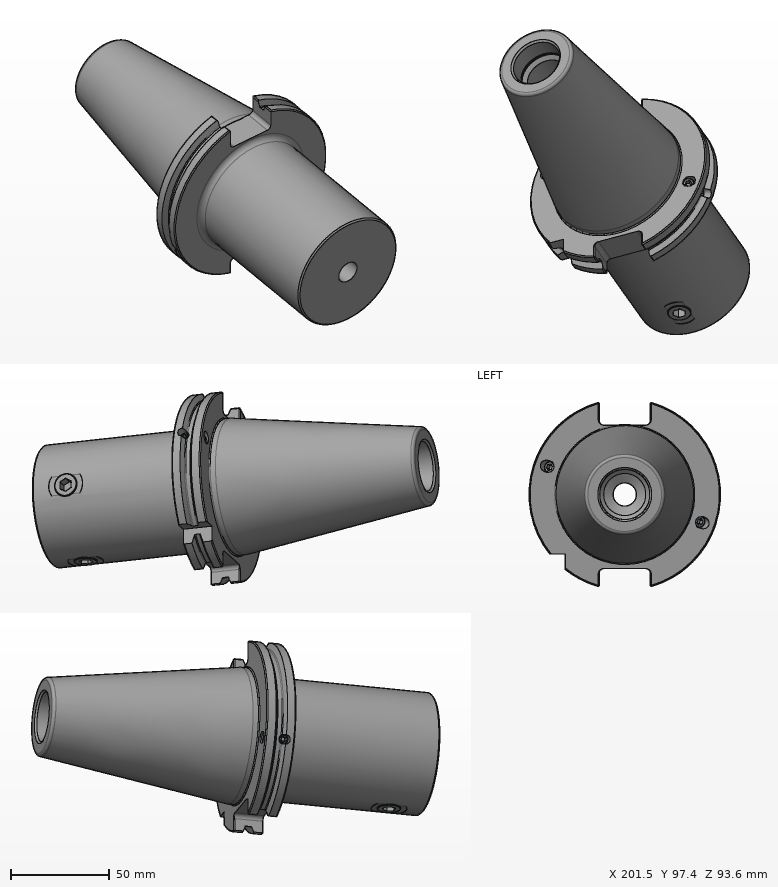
import cadquery as cq
import math

TOTAL_LENGTH = 201.5
GAUGE_X = 101.6
FLANGE_X = 105.0
FLANGE_WIDTH = 15.5
FLANGE_END_X = FLANGE_X + FLANGE_WIDTH

SMALL_END_RADIUS = 20.4
GAUGE_RADIUS = 34.98
FLANGE_RADIUS = 48.69
NECK_RADIUS = 31.5

SMALL_END_FILLET = 1.6
FLANGE_CHAMFER = 0.6
NECK_CHAMFER = 0.8
NECK_FILLET = 3.0
ROOT_FILLET = 0.6

GROOVE_X = FLANGE_X + 7.9
GROOVE_OPENING = 6.0
GROOVE_FLOOR = 3.0
GROOVE_DEPTH = 3.5
GROOVE_FILLET = 0.6

PILOT_RADIUS = 12.7
PILOT_CHAMFER = 1.0
PILOT_DEPTH = 12.0
RELIEF_WIDTH = 1.0
RELIEF_DEPTH = 0.5
THREAD_RADIUS = 10.7
THREAD_DEPTH = 50.5
COOLANT_RADIUS = 5.8
BORE_CONE_LENGTH = (THREAD_RADIUS - COOLANT_RADIUS) * 0.6

SLOT_WIDTH = 25.8
UPPER_SLOT_FLOOR = 35.3
LOWER_SLOT_FLOOR = 37.7
SLOT_FILLET = 2.2
SLOT_FACE_CHAMFER = 0.6
SLOT_MOUTH_HEIGHT = 46.2
BEVEL_ANGLE = 45.0
NOTCH_Y = 30.2
NOTCH_Z = 30.2

SCREW_ANGLE = 20.0
SCREW_CHAMFER = 0.5
FACE_SCREW_CIRCLE = 42.0
FACE_SCREW_TILT = 30.0
FACE_SCREW_RADIUS = 3.0
FACE_SCREW_RECESS = 2.5
FACE_SCREW_LENGTH = 6.0
FACE_SCREW_SOCKET = 3.0
RIM_SCREW_X = 115.7
RIM_SCREW_RADIUS = 2.5
RIM_SCREW_RECESS = 4.0
RIM_SCREW_LENGTH = 5.0
RIM_SCREW_SOCKET = 2.5

PLUG_X = 183.5
SEAT_RADIUS = 9.0
SEAT_DEPTH = 0.5
PLUG_RADIUS = 6.0
PLUG_SOCKET = 6.0
PLUG_DEPTH = 12.0

HALF_TURN = 180.0
SCREW_TURNS = (0, HALF_TURN)
PLUG_SIDES = (cq.Vector(0, 1, 0), cq.Vector(0, 0, -1))


def revolve_about_x(outline):
    """Turn a closed (x, radius) outline into a body around the X axis."""
    return outline.close().revolve(360, (0, 0, 0), (1, 0, 0))


def rod(start, direction, radius, length):
    """Cylinder that begins at a point and runs along a direction."""
    return cq.Workplane(cq.Solid.makeCylinder(radius, length, start, direction))


def groove_corners():
    """Selector box around the two inner corners of the groove."""
    reach = FLANGE_RADIUS - GROOVE_DEPTH / 2
    half_floor = GROOVE_FLOOR / 2 + 0.2
    return cq.selectors.BoxSelector(
        (GROOVE_X - half_floor, -reach, -reach),
        (GROOVE_X + half_floor, reach, reach),
        boundingbox=True,
    )


def outer_form():
    """Taper, flange with its groove, and neck."""
    outline = (
        cq.Workplane("XY")
        .lineTo(0, SMALL_END_RADIUS - SMALL_END_FILLET)
        .radiusArc((SMALL_END_FILLET, SMALL_END_RADIUS), SMALL_END_FILLET)
        .lineTo(GAUGE_X, GAUGE_RADIUS)
        .lineTo(FLANGE_X - ROOT_FILLET, GAUGE_RADIUS)
        .radiusArc((FLANGE_X, GAUGE_RADIUS + ROOT_FILLET), -ROOT_FILLET)
        .lineTo(FLANGE_X, FLANGE_RADIUS - FLANGE_CHAMFER)
        .lineTo(FLANGE_X + FLANGE_CHAMFER, FLANGE_RADIUS)
        .lineTo(GROOVE_X - GROOVE_OPENING / 2, FLANGE_RADIUS)
        .lineTo(GROOVE_X - GROOVE_FLOOR / 2, FLANGE_RADIUS - GROOVE_DEPTH)
        .lineTo(GROOVE_X + GROOVE_FLOOR / 2, FLANGE_RADIUS - GROOVE_DEPTH)
        .lineTo(GROOVE_X + GROOVE_OPENING / 2, FLANGE_RADIUS)
        .lineTo(FLANGE_END_X - FLANGE_CHAMFER, FLANGE_RADIUS)
        .lineTo(FLANGE_END_X, FLANGE_RADIUS - FLANGE_CHAMFER)
        .lineTo(FLANGE_END_X, NECK_RADIUS + NECK_FILLET)
        .radiusArc((FLANGE_END_X + NECK_FILLET, NECK_RADIUS), -NECK_FILLET)
        .lineTo(TOTAL_LENGTH - NECK_CHAMFER, NECK_RADIUS)
        .lineTo(TOTAL_LENGTH, NECK_RADIUS - NECK_CHAMFER)
        .lineTo(TOTAL_LENGTH, 0)
    )
    return revolve_about_x(outline).edges(groove_corners()).fillet(GROOVE_FILLET)


def stepped_bore():
    """Pilot bore with a relief, thread bore and coolant bore through to the far end."""
    outline = (
        cq.Workplane("XY")
        .lineTo(0, PILOT_RADIUS + PILOT_CHAMFER)
        .lineTo(PILOT_CHAMFER, PILOT_RADIUS)
        .lineTo(PILOT_DEPTH - RELIEF_WIDTH, PILOT_RADIUS)
        .lineTo(PILOT_DEPTH - RELIEF_WIDTH, PILOT_RADIUS + RELIEF_DEPTH)
        .lineTo(PILOT_DEPTH, PILOT_RADIUS + RELIEF_DEPTH)
        .lineTo(PILOT_DEPTH, PILOT_RADIUS)
        .lineTo(PILOT_DEPTH + PILOT_RADIUS - THREAD_RADIUS, THREAD_RADIUS)
        .lineTo(THREAD_DEPTH, THREAD_RADIUS)
        .lineTo(THREAD_DEPTH + BORE_CONE_LENGTH, COOLANT_RADIUS)
        .lineTo(TOTAL_LENGTH, COOLANT_RADIUS)
        .lineTo(TOTAL_LENGTH, 0)
    )
    return revolve_about_x(outline)


def slot_section(width, floor_height, fillet):
    """Slot outline on the flange face, open towards +Z beyond the rim."""
    return (
        cq.Workplane("YZ", origin=(FLANGE_X, 0, 0))
        .moveTo(-width / 2, FLANGE_RADIUS)
        .lineTo(-width / 2, floor_height + fillet)
        .radiusArc((fillet - width / 2, floor_height), -fillet)
        .lineTo(width / 2 - fillet, floor_height)
        .radiusArc((width / 2, floor_height + fillet), -fillet)
        .lineTo(width / 2, FLANGE_RADIUS)
        .close()
    )


def slot_mouth():
    """45 degree flare that breaks the slot edges at the rim."""
    flare = FLANGE_RADIUS - SLOT_MOUTH_HEIGHT
    return (
        cq.Workplane("YZ", origin=(FLANGE_X, 0, 0))
        .moveTo(-SLOT_WIDTH / 2, SLOT_MOUTH_HEIGHT)
        .lineTo(SLOT_WIDTH / 2, SLOT_MOUTH_HEIGHT)
        .lineTo(SLOT_WIDTH / 2 + flare, FLANGE_RADIUS)
        .lineTo(-SLOT_WIDTH / 2 - flare, FLANGE_RADIUS)
        .close()
        .extrude(FLANGE_WIDTH)
    )


def drive_slot(floor_height):
    """Slot cutter on the +Z part of the flange, with broken edges at the face and the rim."""
    slot = slot_section(SLOT_WIDTH, floor_height, SLOT_FILLET).extrude(FLANGE_WIDTH)
    face_width = SLOT_WIDTH + 2 * SLOT_FACE_CHAMFER
    face_fillet = SLOT_FILLET + SLOT_FACE_CHAMFER
    face_section = slot_section(face_width, floor_height, face_fillet)
    face_bevel = face_section.extrude(SLOT_FACE_CHAMFER, taper=BEVEL_ANGLE)
    return slot.union(face_bevel).union(slot_mouth())


def orientation_notch():
    """Square corner cut through the flange on the +Y, -Z side."""
    size = FLANGE_RADIUS
    return (
        cq.Workplane("XY")
        .box(FLANGE_WIDTH, size, size, centered=False)
        .translate((FLANGE_X, NOTCH_Y, -NOTCH_Z - size))
    )


def socket_screw(start, direction, radius, length, socket_width):
    """Headless screw with a chamfer and a hexagonal socket in its outer end."""
    plane = cq.Plane(start, (0, direction.z, -direction.y), direction)
    socket = (
        cq.Workplane(plane)
        .polygon(6, socket_width / math.cos(math.pi / 6))
        .extrude(length / 2)
    )
    outer_edge = cq.selectors.NearestToPointSelector(start.toTuple())
    body = rod(start, direction, radius, length)
    return body.edges(outer_edge).chamfer(SCREW_CHAMFER).cut(socket)


def screw_side(turn):
    """Radial unit vector of the screws, turned by half a turn for the opposite pair."""
    angle = math.radians(SCREW_ANGLE + turn)
    return cq.Vector(0, math.cos(angle), math.sin(angle))


def face_screw_axis(turn):
    """Start point on the flange face and direction leaning towards the X axis."""
    tilt = math.radians(FACE_SCREW_TILT)
    outward = screw_side(turn)
    start = cq.Vector(FLANGE_X, 0, 0) + outward * FACE_SCREW_CIRCLE
    return start, cq.Vector(math.cos(tilt), 0, 0) - outward * math.sin(tilt)


def rim_screw_axis(turn):
    """Start point on the flange rim and direction straight to the X axis."""
    outward = screw_side(turn)
    return cq.Vector(RIM_SCREW_X, 0, 0) + outward * FLANGE_RADIUS, outward * -1


def face_screw_hole(turn):
    start, inward = face_screw_axis(turn)
    clearance = FACE_SCREW_RADIUS
    depth = FACE_SCREW_RECESS + FACE_SCREW_LENGTH
    return rod(start - inward * clearance, inward, FACE_SCREW_RADIUS, depth + clearance)


def face_screw(turn):
    start, inward = face_screw_axis(turn)
    head = start + inward * FACE_SCREW_RECESS
    return socket_screw(head, inward, FACE_SCREW_RADIUS, FACE_SCREW_LENGTH, FACE_SCREW_SOCKET)


def rim_screw_hole(turn):
    start, inward = rim_screw_axis(turn)
    return rod(start, inward, RIM_SCREW_RADIUS, RIM_SCREW_RECESS + RIM_SCREW_LENGTH)


def rim_screw(turn):
    start, inward = rim_screw_axis(turn)
    head = start + inward * RIM_SCREW_RECESS
    return socket_screw(head, inward, RIM_SCREW_RADIUS, RIM_SCREW_LENGTH, RIM_SCREW_SOCKET)


def plug_seat(outward):
    """Shallow flat recess around a plug."""
    start = cq.Vector(PLUG_X, 0, 0) + outward * (NECK_RADIUS - SEAT_DEPTH)
    return rod(start, outward, SEAT_RADIUS, SEAT_DEPTH)


def plug_hole(outward):
    start = cq.Vector(PLUG_X, 0, 0) + outward * NECK_RADIUS
    return rod(start, outward * -1, PLUG_RADIUS, PLUG_DEPTH)


def neck_plug(outward):
    start = cq.Vector(PLUG_X, 0, 0) + outward * NECK_RADIUS
    return socket_screw(start, outward * -1, PLUG_RADIUS, PLUG_DEPTH, PLUG_SOCKET)


def tool_holder():
    """Main body with its bore, slots, notch and the holes for the screws and plugs."""
    body = outer_form().cut(stepped_bore())
    body = body.cut(drive_slot(UPPER_SLOT_FLOOR))
    body = body.cut(drive_slot(LOWER_SLOT_FLOOR).mirror("XY"))
    body = body.cut(orientation_notch())
    for turn in SCREW_TURNS:
        body = body.cut(face_screw_hole(turn)).cut(rim_screw_hole(turn))
    for side in PLUG_SIDES:
        body = body.cut(plug_seat(side)).cut(plug_hole(side))
    return body


holder = tool_holder()
face_screws = [face_screw(turn) for turn in SCREW_TURNS]
rim_screws = [rim_screw(turn) for turn in SCREW_TURNS]
neck_plugs = [neck_plug(side) for side in PLUG_SIDES]

bodies = [holder, *face_screws, *rim_screws, *neck_plugs]
result = cq.Compound.makeCompound([body.val() for body in bodies])